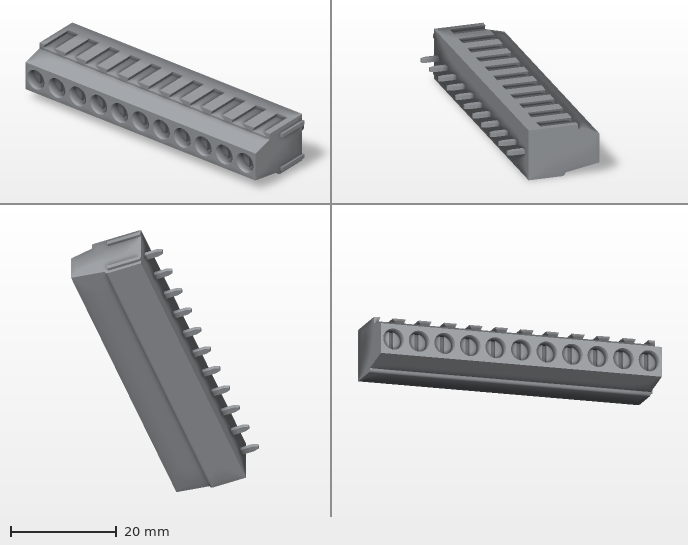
import cadquery as cq
import math

pole_count = 11
pitch = 5.1
overall_length = 56.45
overall_depth = 17.6
height = 10.1

body_length = pole_count * pitch
body_depth = 14.15
front_face_bottom = 1.85
front_face_top = 7.75
step_y = 4.3
step_drop = 1.25
lip_y = 6.85
lip_radius = 0.7

pocket_top_width = 2.5
pocket_floor_width = 3.3
pocket_depth = 0.85
pocket_back_y = 11.4

screw_z = (front_face_bottom + front_face_top) / 2
hole_diameter = 3.85
hole_rim_diameter = 4.1
rim_depth = 0.45
hole_depth = 1.7
slot_width = 0.85
slot_depth = 0.85
head_edge_radius = 0.2

pin_width = 1.2
pin_thickness = 0.8
pin_tip_width = 0.5
pin_tip_length = 1.0
pin_z = height / 2

rail_head_thickness = 0.15
rail_root_height = 0.7
rail_head_height = 0.85
rail_front_y = 7.5
lower_rail_z = 1.15
upper_rail_z = 8.45

pole_positions = [(index + 0.5) * pitch for index in range(pole_count)]


def make_housing():
    """Side outline with a quarter-round lip underneath, extruded over all poles."""
    arc_offset = lip_radius * math.sqrt(0.5)
    lip_arc_middle = (lip_y + lip_radius - arc_offset, lip_radius - arc_offset)
    return (
        cq.Workplane("YZ")
        .moveTo(0, front_face_bottom)
        .lineTo(lip_y, lip_radius)
        .threePointArc(lip_arc_middle, (lip_y + lip_radius, 0))
        .lineTo(body_depth, 0)
        .lineTo(body_depth, height)
        .lineTo(step_y, height)
        .lineTo(step_y, height - step_drop)
        .lineTo(0, front_face_top)
        .close()
        .extrude(body_length)
    )


def make_pocket(x):
    """Dovetail channel that is narrower at the top surface than at its floor."""
    floor_z = height - pocket_depth
    section = [
        (x - pocket_floor_width / 2, floor_z),
        (x + pocket_floor_width / 2, floor_z),
        (x + pocket_top_width / 2, height),
        (x - pocket_top_width / 2, height),
    ]
    channel = cq.Workplane("XZ", origin=(0, pocket_back_y, 0)).polyline(section).close()
    return channel.extrude(pocket_back_y - step_y)


def make_screw_hole(x):
    """Countersunk hole down to a round-edged screw head, with the driver slot sunk into the head."""
    bore_radius = hole_diameter / 2
    profile = [
        (0, 0),
        (hole_rim_diameter / 2, 0),
        (bore_radius, rim_depth),
        (bore_radius, hole_depth + head_edge_radius),
        (0, hole_depth + head_edge_radius),
    ]
    hole = cq.Workplane("XY").polyline(profile).close().revolve(360, (0, 0, 0), (0, 1, 0))
    slot_bottom_y = hole_depth + slot_depth
    head = cq.Workplane("XZ", origin=(0, slot_bottom_y, 0)).circle(bore_radius).extrude(slot_depth)
    head = head.faces("<Y").edges().fillet(head_edge_radius)
    slot = cq.Workplane("XY", origin=(0, hole_depth, 0)).box(
        slot_width, slot_depth, hole_diameter, centered=(True, False, True)
    )
    return hole.cut(head).union(head.intersect(slot)).translate((x, 0, screw_z))


def make_pin(x):
    """Flat pin whose end tapers to a blunt tip."""
    half_width = pin_width / 2
    half_tip = pin_tip_width / 2
    shoulder_y = overall_depth - pin_tip_length
    outline = [
        (-half_width, body_depth),
        (half_width, body_depth),
        (half_width, shoulder_y),
        (half_tip, overall_depth),
        (-half_tip, overall_depth),
        (-half_width, shoulder_y),
    ]
    base = cq.Workplane("XY", origin=(x, 0, pin_z - pin_thickness / 2))
    return base.polyline(outline).close().extrude(pin_thickness)


def make_rail(z):
    """Rail on the +X end, running from the back face towards the front."""
    head_x = overall_length - rail_head_thickness
    section = [
        (body_length, z - rail_root_height / 2),
        (head_x, z - rail_head_height / 2),
        (overall_length, z - rail_head_height / 2),
        (overall_length, z + rail_head_height / 2),
        (head_x, z + rail_head_height / 2),
        (body_length, z + rail_root_height / 2),
    ]
    profile = cq.Workplane("XZ", origin=(0, body_depth, 0)).polyline(section).close()
    return profile.extrude(body_depth - rail_front_y)


result = make_housing()
for pole_x in pole_positions:
    result = result.cut(make_pocket(pole_x))
    result = result.cut(make_screw_hole(pole_x))
    result = result.union(make_pin(pole_x))
for rail_z in (lower_rail_z, upper_rail_z):
    result = result.union(make_rail(rail_z))